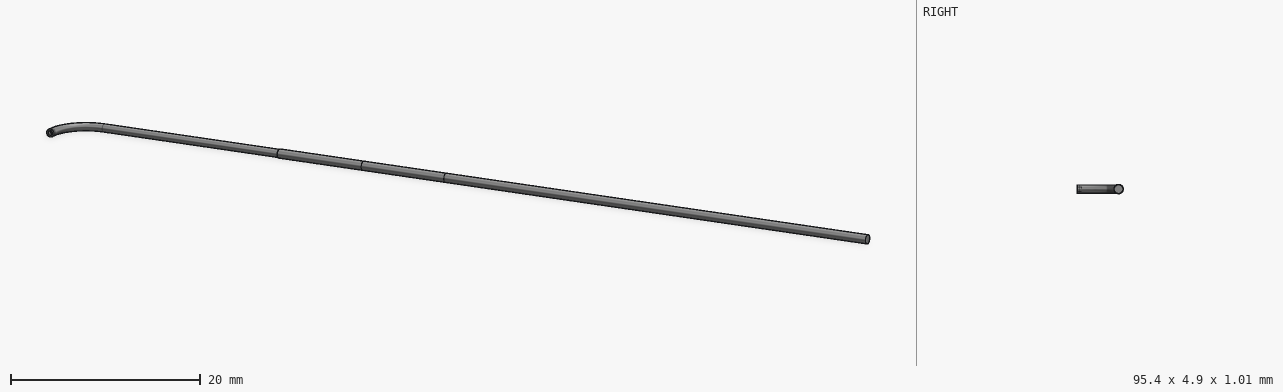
import cadquery as cq

total_length = 95.4
total_depth = 4.9

wire_diameter = 0.9
diameter_step = 0.105
rod_diameter = wire_diameter + diameter_step
rod_length = 50.2
sleeve_length = 9.8
collar_length = 10.0

bend_radius = 4.1

tip_hole_diameter = 0.5
tip_hole_depth = 0.5

rod_start = total_length - rod_length
sleeve_start = rod_start - sleeve_length
collar_start = sleeve_start - collar_length
tip_x = wire_diameter / 2
bend_end_x = tip_x + bend_radius

tip_y = rod_diameter / 2 - total_depth


def cylinder_along_x(start, length, diameter):
    """Round bar on the X axis."""
    return cq.Workplane("YZ", origin=(start, 0, 0)).circle(diameter / 2).extrude(length)


def make_bent_probe():
    """Thin wire with a bent tip, thickened to a collar at its rear end and drilled at its tip."""
    centre_line = (
        cq.Workplane("XY")
        .moveTo(tip_x, tip_y)
        .lineTo(tip_x, -bend_radius)
        .radiusArc((bend_end_x, 0), bend_radius)
        .lineTo(collar_start, 0)
    )
    wire = (
        cq.Workplane("XZ", origin=(tip_x, tip_y, 0))
        .circle(wire_diameter / 2)
        .sweep(centre_line)
    )
    collar = cylinder_along_x(collar_start, collar_length, rod_diameter)
    tip_hole = (
        cq.Workplane("XZ", origin=(tip_x, tip_y, 0))
        .circle(tip_hole_diameter / 2)
        .extrude(-tip_hole_depth)
    )
    return wire.union(collar).cut(tip_hole).solids()


def make_sleeve():
    """Short round joint between the probe and the rod."""
    return cylinder_along_x(sleeve_start, sleeve_length, rod_diameter)


def make_rod():
    """Long round rod."""
    return cylinder_along_x(rod_start, rod_length, rod_diameter)


bent_probe = make_bent_probe()
sleeve = make_sleeve()
rod = make_rod()

result = cq.Compound.makeCompound([bent_probe.val(), sleeve.val(), rod.val()])